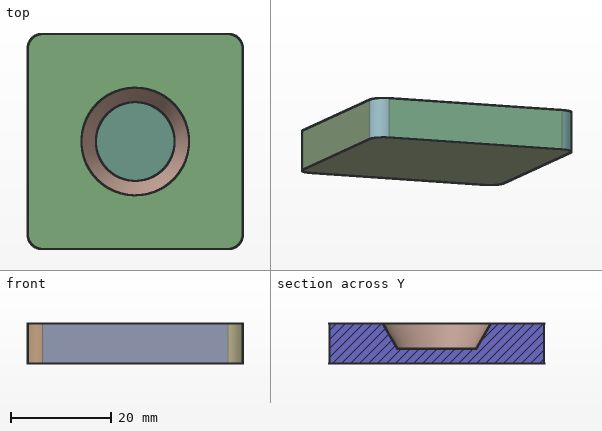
import cadquery as cq
import math

side = 43.0
thickness = 8.0
corner_radius = 3.0

recess_depth = 5.0
rim_radius = side / 4
wall_angle = 30.0
floor_radius = rim_radius - recess_depth * math.tan(math.radians(wall_angle))


def plate():
    """Square plate with rounded vertical corners, standing on Z = 0."""
    blank = cq.Workplane("XY").box(side, side, thickness, centered=(True, True, False))
    return blank.edges("|Z").fillet(corner_radius)


def recess():
    """Truncated cone that narrows from the rim down to the floor."""
    floor_center = cq.Vector(0, 0, thickness - recess_depth)
    return cq.Solid.makeCone(floor_radius, rim_radius, recess_depth, pnt=floor_center)


result = plate().cut(cq.Workplane(recess()))